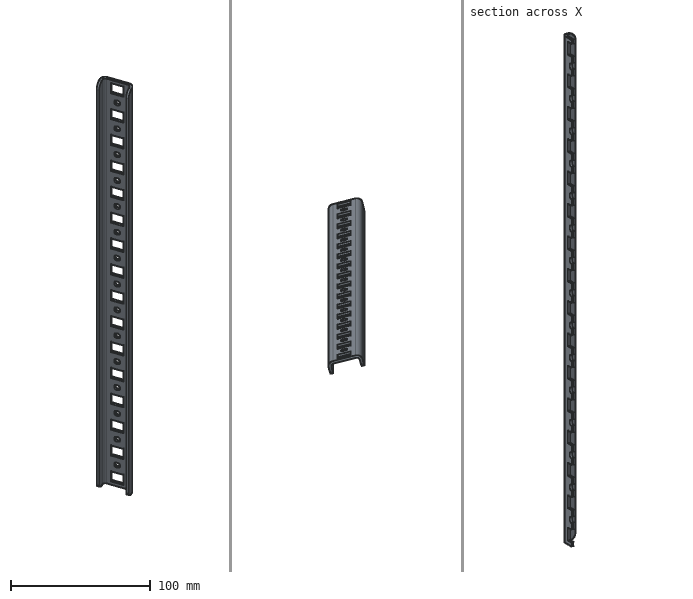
import cadquery as cq

length = 391.0
width = 25.0
depth = 10.0
thickness = 2.0
bend_inner_radius = 2.07
bend_outer_radius = bend_inner_radius + thickness
flange_corner_radius = 5.0

pattern_length = 375.0
square_count = 16
pitch = pattern_length / (square_count - 1)
square_size = 9.8
round_diameter = 4.5

back_face = depth / 2


def make_channel():
    """Bent channel, centred on the origin and running along Z."""
    outer = (
        cq.Workplane("XY")
        .box(width, depth, length)
        .edges("|Z and >Y")
        .fillet(bend_outer_radius)
    )
    cavity = (
        cq.Workplane("XY")
        .box(width - 2 * thickness, depth, length)
        .edges("|Z and >Y")
        .fillet(bend_inner_radius)
        .translate((0, -thickness, 0))
    )
    return outer.cut(cavity)


def round_flange_corners(channel):
    """Round the free corners at both ends of both flanges."""
    return channel.faces("<Y").edges("|X").fillet(flange_corner_radius)


def cut_web_holes(channel):
    """Cut the row of squares and round holes through the web, centred along its length."""
    web = cq.Plane.named("XZ", origin=(0, back_face, 0))
    square_spots = cq.Workplane(web).rarray(4, pitch, 1, square_count)
    squares = square_spots.rect(square_size, square_size).extrude(thickness)
    round_spots = cq.Workplane(web).rarray(4, pitch, 1, square_count - 1)
    rounds = round_spots.circle(round_diameter / 2).extrude(thickness)
    return channel.cut(squares).cut(rounds)


result = cut_web_holes(round_flange_corners(make_channel()))